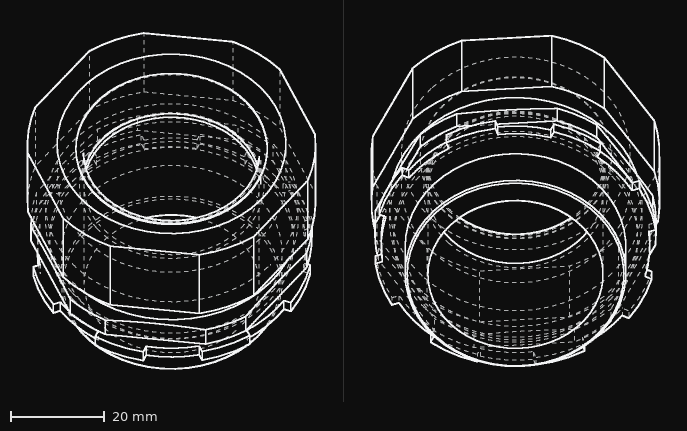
import cadquery as cq
import math

total_height = 48.0
nut_bottom = 27.9
body_hex_top = 21.7
body_hex_bottom = 16.0
locknut_top = 14.0
locknut_bottom = 11.0

nut_diameter = 61.4
nut_flats = 58.35
collar_diameter = 53.85
body_hex_diameter = 59.95
body_hex_flats = 55.95
body_hex_cone_drop = 0.75
neck_diameter = 52.1
spigot_diameter = 47.05
spigot_chamfer = 0.4

lug_count = 8
lug_width = 11.05
lug_diameter = 60.4
locknut_root_diameter = 57.25

nut_bore_radius = 24.4
bore_radius = 18.7
sleeve_inner_radius = 18.75
sleeve_wall = 0.3
sleeve_outer_radius = sleeve_inner_radius + sleeve_wall
trough_z = total_height - 12.3
trough_centre = (sleeve_outer_radius + nut_bore_radius) / 2
trough_radius = (nut_bore_radius - sleeve_outer_radius) / 2
underside_radius = trough_radius + sleeve_wall
ledge_z = total_height - 14.45
rim_arc_z = total_height - 3.25
rim_arc_radius = 1.65


def cylinder(diameter, bottom, top):
    return cq.Workplane("XY").workplane(offset=bottom).circle(diameter / 2).extrude(top - bottom)


def rounded_hex(flats, diameter, bottom, top):
    """Hexagon with flats facing +Y and -Y, its corners turned to a circle."""
    corner_diameter = flats / math.cos(math.pi / 6)
    prism = cq.Workplane("XY").workplane(offset=bottom).polygon(6, corner_diameter).extrude(top - bottom)
    return prism.intersect(cylinder(diameter, bottom, top))


def body_hex():
    """Hexagonal flange whose top slopes down gently from the collar."""
    outer_radius = body_hex_diameter / 2
    envelope = (
        cq.Workplane("XZ")
        .moveTo(0, body_hex_bottom)
        .lineTo(outer_radius, body_hex_bottom)
        .lineTo(outer_radius, body_hex_top - body_hex_cone_drop)
        .lineTo(collar_diameter / 2, body_hex_top)
        .lineTo(0, body_hex_top)
        .close()
        .revolve(360, (0, 0), (0, 1))
    )
    return rounded_hex(body_hex_flats, body_hex_diameter, body_hex_bottom, body_hex_top).intersect(envelope)


def locknut():
    """Round ring with parallel-sided lugs."""
    height = locknut_top - locknut_bottom
    ring = cylinder(locknut_root_diameter, locknut_bottom, locknut_top)
    for index in range(lug_count // 2):
        bar = (
            cq.Workplane("XY")
            .workplane(offset=locknut_bottom)
            .rect(nut_diameter, lug_width)
            .extrude(height)
            .rotate((0, 0, 0), (0, 0, 1), index * 360 / lug_count)
        )
        ring = ring.union(bar)
    return ring.intersect(cylinder(lug_diameter, locknut_bottom, locknut_top))


def cavity():
    """Revolved hollow: plain bore, curled thin sleeve and the round-bottomed trough around it."""
    ledge_drop = trough_z - ledge_z
    ledge_radius = trough_centre - math.sqrt(underside_radius**2 - ledge_drop**2)
    underside_mid_angle = math.asin(ledge_drop / underside_radius) / 2
    underside_mid = (
        trough_centre - underside_radius * math.cos(underside_mid_angle),
        trough_z - underside_radius * math.sin(underside_mid_angle),
    )
    rim_centre = sleeve_inner_radius + rim_arc_radius
    rim_outside = rim_arc_radius - sleeve_wall
    diagonal = math.sqrt(0.5)
    profile = (
        cq.Workplane("XZ")
        .lineTo(bore_radius, 0)
        .lineTo(bore_radius, ledge_z)
        .lineTo(ledge_radius, ledge_z)
        .threePointArc(underside_mid, (sleeve_inner_radius, trough_z))
        .lineTo(sleeve_inner_radius, rim_arc_z)
        .threePointArc(
            (rim_centre - rim_arc_radius * diagonal, rim_arc_z + rim_arc_radius * diagonal),
            (rim_centre, rim_arc_z + rim_arc_radius),
        )
        .lineTo(rim_centre, rim_arc_z + rim_outside)
        .threePointArc(
            (rim_centre - rim_outside * diagonal, rim_arc_z + rim_outside * diagonal),
            (sleeve_outer_radius, rim_arc_z),
        )
        .lineTo(sleeve_outer_radius, trough_z)
        .threePointArc((trough_centre, trough_z - trough_radius), (nut_bore_radius, trough_z))
        .lineTo(nut_bore_radius, total_height)
        .lineTo(0, total_height)
        .close()
    )
    return profile.revolve(360, (0, 0), (0, 1))


spigot = cylinder(spigot_diameter, 0, locknut_bottom).faces("<Z").chamfer(spigot_chamfer)
body = (
    spigot.union(locknut())
    .union(cylinder(neck_diameter, locknut_top, body_hex_bottom))
    .union(body_hex())
    .union(cylinder(collar_diameter, body_hex_top, nut_bottom))
    .union(rounded_hex(nut_flats, nut_diameter, nut_bottom, total_height))
)

result = body.cut(cavity())